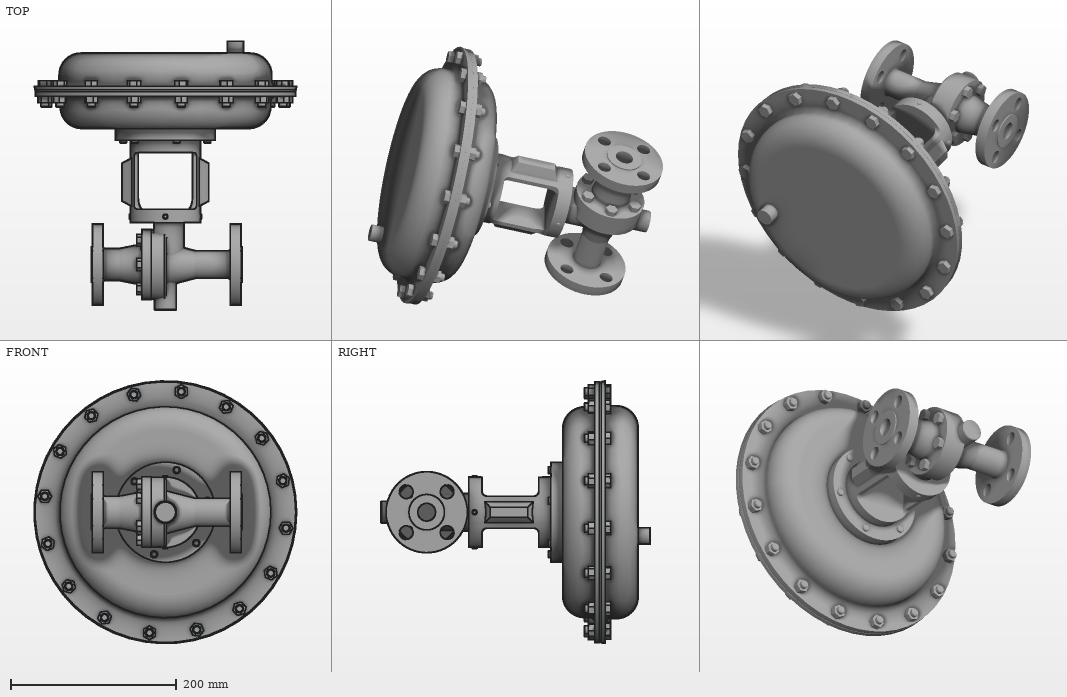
import cadquery as cq
import math


casing_top = 255.5
flange_top = 215.5
gasket_top = 211.0
gasket_bottom = 208.8
flange_bottom = 203.3
casing_bottom = 164.3
flange_radius = 158.7
flange_taper = 10.0
gasket_radius = 157.5
lower_flange_radius = 157.7
upper_dome_radius = 128.8
lower_dome_radius = 127.5
dome_round = 27.0
dome_root_round = 6.2

inlet_x = 84.5
inlet_z = -28.5
inlet_radius = 10.0
inlet_end = 270.0

casing_bolt_count = 16
casing_bolt_circle = 147.0
bolt_phase = 15.0
casing_hex_corners = 16.5
casing_head_height = 6.5
casing_head_turn = 22.5
casing_nut_turn = 7.5
casing_nut_height = 7.8
stud_radius = 5.0
stud_tip_length = 5.2
stud_chamfer = 1.0

plate_radius = 60.5
plate_bottom = 150.0
plate_screw_count = 6
plate_screw_circle = 52.7
plate_screw_radius = 4.2
plate_screw_height = 3.3
plate_screw_chamfer = 1.0

yoke_radius = 42.5
yoke_bottom = 50.7
window_bottom = 67.0
window_top = 135.3
window_half_width = 32.5
window_foot_height = 13.0
window_foot_radius = 23.7
leg_half_depth = 19.5
leg_corner_round = 6.0

pad_center_y = 99.5
pad_root_length = 58.5
pad_root_width = 25.5
pad_root_x = 40.5
pad_end_x = 52.7
pad_taper = 28.0

set_screw_count = 4
set_screw_radius = 3.0
set_screw_y = 58.0
set_screw_proud = 1.3
set_screw_chamfer = 0.5

neck_radius = 22.8
neck_flat_x = -14.0
bottom_boss_radius = 13.3
bottom_boss_end = -55.3
bottom_boss_chamfer = 1.0
root_round = 1.0

neck_root_low = 9.8
neck_root_high = 43.0
boss_root_low = -48.8
boss_root_high = -9.8

inlet_face_x = -89.8
outlet_face_x = 93.0
raised_face_height = 1.5
raised_face_radius = 21.5
pipe_flange_radius = 49.0
pipe_flange_thickness = 13.0
flange_hole_circle = 34.8
flange_hole_radius = 8.0
flange_hole_count = 4
flange_hole_phase = 45.0
bore_radius = 10.7
bore_depth = 65.0
inlet_pipe_radius = 19.5
outlet_pipe_radius = 17.0
pipe_root_round = 2.0
inlet_cone_start = -55.5
outlet_cone_end = 35.8
inlet_hub_radius = 23.7
inlet_hub_length = 6.0
inlet_hub_round = 1.5
outlet_cone_radius = 26.0
body_radius = 42.3
body_left_x = -28.3
body_joint_x = -17.0
body_right_x = 1.0
body_chamfer = 2.3
cover_radius = 42.5

body_bolt_count = 6
body_bolt_circle = 33.8
body_hex_corners = 14.5
body_head_height = 6.5


def rod_y(radius, y_from, y_to, x=0.0, z=0.0):
    """Cylinder along Y."""
    return cq.Workplane("XZ", origin=(x, y_from, z)).circle(radius).extrude(y_from - y_to)


def rod_x(radius, x_from, x_to):
    """Cylinder along the pipe axis."""
    return cq.Workplane("YZ", origin=(x_from, 0, 0)).circle(radius).extrude(x_to - x_from)


def around_y(feature, count, phase=0.0):
    """Copies of a feature spaced evenly about the Y axis."""
    ring = cq.Workplane("XY")
    for i in range(count):
        angle = phase + i * 360.0 / count
        ring = ring.add(feature.rotate((0, 0, 0), (0, 1, 0), -angle))
    return ring


def dome(radius, rim_y, end_y):
    """Rounded casing shell, flaring into its rim with a small root fillet."""
    side = math.copysign(1, end_y - rim_y)
    diagonal = math.sqrt(0.5)
    root_x = radius + dome_root_round
    root_y = rim_y + side * dome_root_round
    shoulder_x = radius - dome_round
    shoulder_y = end_y - side * dome_round
    root_mid = (root_x - diagonal * dome_root_round, root_y - side * diagonal * dome_root_round)
    shoulder_mid = (shoulder_x + diagonal * dome_round, shoulder_y + side * diagonal * dome_round)
    return (
        cq.Workplane("XY")
        .moveTo(0, rim_y)
        .lineTo(root_x, rim_y)
        .threePointArc(root_mid, (radius, root_y))
        .lineTo(radius, shoulder_y)
        .threePointArc(shoulder_mid, (shoulder_x, end_y))
        .lineTo(0, end_y)
        .close()
        .revolve(360, (0, 0, 0), (0, 1, 0))
    )


def casing():
    upper_flange = (
        cq.Workplane("XZ", origin=(0, flange_top, 0))
        .circle(flange_radius)
        .extrude(flange_top - gasket_top, taper=flange_taper)
    )
    gasket = rod_y(gasket_radius, gasket_bottom, gasket_top)
    lower_flange = rod_y(lower_flange_radius, flange_bottom, gasket_bottom)
    inlet = rod_y(inlet_radius, flange_top, inlet_end, inlet_x, inlet_z)
    return (
        upper_flange.union(gasket)
        .union(lower_flange)
        .union(dome(upper_dome_radius, flange_top, casing_top))
        .union(dome(lower_dome_radius, flange_bottom, casing_bottom))
        .union(inlet)
    )


def casing_hexagon(start_y, height, turn):
    """Hexagon at the first bolt place, turned about its own axis; a positive height goes toward -Y."""
    return (
        cq.Workplane("XZ", origin=(casing_bolt_circle, start_y, 0))
        .transformed(rotate=(0, 0, turn))
        .polygon(6, casing_hex_corners)
        .extrude(height)
    )


def casing_bolts():
    """Hexagon heads above the rim, nuts and stud tips below it."""
    head = casing_hexagon(flange_top, -casing_head_height, casing_head_turn)
    nut = casing_hexagon(flange_bottom, casing_nut_height, casing_nut_turn)
    stud_end = flange_bottom - casing_nut_height - stud_tip_length
    stud = (
        rod_y(stud_radius, flange_bottom, stud_end, casing_bolt_circle)
        .faces("<Y")
        .chamfer(stud_chamfer)
    )
    return around_y(head.add(nut.union(stud)), casing_bolt_count, bolt_phase)


def mounting_plate():
    plate = rod_y(plate_radius, plate_bottom, casing_bottom)
    screw = (
        rod_y(plate_screw_radius, plate_bottom, plate_bottom - plate_screw_height, plate_screw_circle)
        .faces("<Y")
        .chamfer(plate_screw_chamfer)
    )
    for one_screw in around_y(screw, plate_screw_count, bolt_phase).vals():
        plate = plate.union(cq.Workplane(one_screw))
    return plate


def yoke():
    window_height = window_top - window_bottom
    window_center_y = (window_top + window_bottom) / 2
    body = rod_y(yoke_radius, yoke_bottom, plate_bottom)

    for side in (1, -1):
        side_cut = (
            cq.Workplane("XY")
            .box(3 * yoke_radius, window_height, yoke_radius)
            .edges("|X and " + (">" if side < 0 else "<") + "Z")
            .fillet(leg_corner_round)
            .translate((0, window_center_y, side * (leg_half_depth + yoke_radius / 2)))
        )
        body = body.cut(side_cut)

    foot_y = window_bottom + window_foot_height

    def foot_half_width(height):
        drop = window_foot_height - height
        return window_half_width - window_foot_radius + math.sqrt(window_foot_radius**2 - drop**2)

    corner_x = foot_half_width(0)
    mid_x = foot_half_width(window_foot_height / 2)
    mid_y = window_bottom + window_foot_height / 2
    window = (
        cq.Workplane("XY")
        .moveTo(-window_half_width, window_top)
        .lineTo(window_half_width, window_top)
        .lineTo(window_half_width, foot_y)
        .threePointArc((mid_x, mid_y), (corner_x, window_bottom))
        .lineTo(-corner_x, window_bottom)
        .threePointArc((-mid_x, mid_y), (-window_half_width, foot_y))
        .close()
        .extrude(yoke_radius, both=True)
    )
    body = body.cut(window)

    right_pad = (
        cq.Workplane("YZ", origin=(pad_root_x, pad_center_y, 0))
        .rect(pad_root_length, pad_root_width)
        .extrude(pad_end_x - pad_root_x, taper=pad_taper)
    )
    body = body.union(right_pad).union(right_pad.mirror("YZ"))

    set_screw = (
        cq.Workplane("YZ", origin=(window_half_width, set_screw_y, 0))
        .circle(set_screw_radius)
        .extrude(yoke_radius + set_screw_proud - window_half_width)
        .faces(">X")
        .chamfer(set_screw_chamfer)
    )
    for one_screw in around_y(set_screw, set_screw_count).vals():
        body = body.union(cq.Workplane(one_screw))
    return body


def pipe_flange(face_x, inward):
    """Pipe flange with a raised face; inward is the X direction from the face into the valve."""
    front_x = face_x + inward * raised_face_height
    back_x = front_x + inward * pipe_flange_thickness
    holes = (
        cq.Workplane("YZ", origin=(front_x, 0, 0))
        .polarArray(flange_hole_circle, flange_hole_phase, 360, flange_hole_count)
        .circle(flange_hole_radius)
        .extrude(back_x - front_x)
    )
    raised_face = rod_x(raised_face_radius, face_x, front_x)
    return rod_x(pipe_flange_radius, front_x, back_x).cut(holes).union(raised_face)


def pipe(face_x, inward, pipe_radius, cone_x, cone_radius, body_x):
    """Pipe running from its flange through a root fillet and a cone into the body."""
    back_x = face_x + inward * (raised_face_height + pipe_flange_thickness)
    round_mid = pipe_root_round * (1 - math.sqrt(0.5))
    return (
        cq.Workplane("XY")
        .moveTo(back_x, 0)
        .lineTo(back_x, pipe_radius + pipe_root_round)
        .threePointArc(
            (back_x + inward * round_mid, pipe_radius + round_mid),
            (back_x + inward * pipe_root_round, pipe_radius),
        )
        .lineTo(cone_x, pipe_radius)
        .lineTo(body_x, cone_radius)
        .lineTo(body_x, 0)
        .close()
        .revolve(360, (0, 0, 0), (1, 0, 0))
    )


def body_heads():
    """Hexagon heads on the cover; a flat of each head faces the pipe axis."""
    head = (
        cq.Workplane("YZ", origin=(body_left_x, 0, body_bolt_circle))
        .polygon(6, body_hex_corners)
        .extrude(-body_head_height)
    )
    ring = head
    for i in range(1, body_bolt_count):
        ring = ring.union(head.rotate((0, 0, 0), (1, 0, 0), i * 360.0 / body_bolt_count))
    return ring


def inlet_hub():
    """Short collar between the inlet cone and the cover, with a root fillet on the cover."""
    hub = rod_x(inlet_hub_radius, body_left_x - inlet_hub_length, body_left_x)
    root = rod_x(inlet_hub_radius + inlet_hub_round, body_left_x - inlet_hub_round, body_left_x)
    groove = cq.Workplane("XY").add(
        cq.Solid.makeTorus(
            inlet_hub_radius + inlet_hub_round,
            inlet_hub_round,
            cq.Vector(body_left_x - inlet_hub_round, 0, 0),
            cq.Vector(1, 0, 0),
        )
    )
    return hub.union(root.cut(groove))


def round_root(solid, radius, y_low, y_high):
    """Small fillet where an upright cylinder about the Y axis joins the valve body."""
    reach = radius + root_round
    band = cq.selectors.BoxSelector((-reach, y_low, -reach), (reach, y_high, reach))
    return solid.edges(band).fillet(root_round)


def valve():
    cover = rod_x(cover_radius, body_left_x, body_joint_x)
    body = rod_x(body_radius, body_joint_x, body_right_x).faces(">X").chamfer(body_chamfer)
    neck_flat = cq.Workplane("XY").box(neck_radius, 2 * yoke_bottom, 2 * neck_radius)
    neck = rod_y(neck_radius, 0, yoke_bottom).cut(
        neck_flat.translate((neck_flat_x - neck_radius / 2, yoke_bottom, 0))
    )
    boss = rod_y(bottom_boss_radius, bottom_boss_end, 0).faces("<Y").chamfer(bottom_boss_chamfer)
    hub_left_x = body_left_x - inlet_hub_length
    inlet_pipe = pipe(
        inlet_face_x, 1, inlet_pipe_radius, inlet_cone_start, inlet_hub_radius, hub_left_x
    )
    outlet_pipe = pipe(
        outlet_face_x, -1, outlet_pipe_radius, outlet_cone_end, outlet_cone_radius, body_right_x
    )
    solid = (
        cover.union(body)
        .union(body_heads())
        .union(inlet_hub())
        .union(inlet_pipe)
        .union(outlet_pipe)
        .union(pipe_flange(inlet_face_x, 1))
        .union(pipe_flange(outlet_face_x, -1))
    )
    solid = round_root(solid.union(neck), neck_radius, neck_root_low, neck_root_high)
    solid = round_root(solid.union(boss), bottom_boss_radius, boss_root_low, boss_root_high)
    inlet_bore = rod_x(bore_radius, inlet_face_x, inlet_face_x + bore_depth)
    outlet_bore = rod_x(bore_radius, outlet_face_x, outlet_face_x - bore_depth)
    return solid.cut(inlet_bore).cut(outlet_bore)


result = casing()
for bolt_piece in casing_bolts().vals():
    result = result.union(cq.Workplane(bolt_piece))
result = result.union(mounting_plate()).union(yoke()).union(valve())